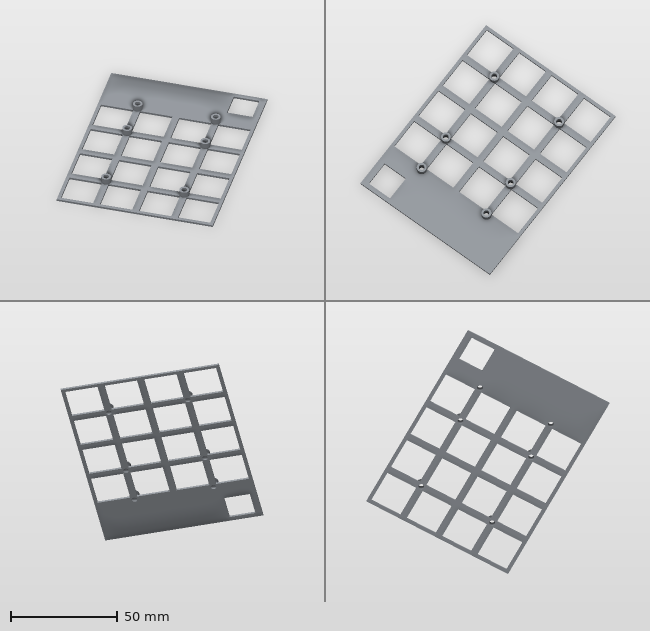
import cadquery as cq

COLUMNS = 4
ROWS = 4
PLATE_WIDTH = 76.2
KEY_PITCH = PLATE_WIDTH / COLUMNS
KEY_WINDOW = 15.7

PLATE_LENGTH = 99.0
PLATE_THICKNESS = 1.0

STRIP_WINDOW = 12.5
STRIP_WINDOW_X = (COLUMNS - 0.5) * KEY_PITCH
STRIP_WINDOW_TOP_MARGIN = 2.3
STRIP_WINDOW_Y = PLATE_LENGTH - STRIP_WINDOW_TOP_MARGIN - STRIP_WINDOW / 2

OVERALL_HEIGHT = 4.0
SPACER_HEIGHT = OVERALL_HEIGHT - PLATE_THICKNESS
SPACER_DIAMETER = 4.7
BORE_DIAMETER = 2.7

SPACER_COLUMN_LINES = (1, 3)
SPACER_ROW_LINES = (1, 3, 4)
SPACER_POINTS = [
    (column_line * KEY_PITCH, row_line * KEY_PITCH)
    for column_line in SPACER_COLUMN_LINES
    for row_line in SPACER_ROW_LINES
]


def make_plate():
    """Flat plate with the key windows, the strip window and the screw holes."""
    key_centers = [
        ((column + 0.5) * KEY_PITCH, (row + 0.5) * KEY_PITCH)
        for column in range(COLUMNS)
        for row in range(ROWS)
    ]
    blank = cq.Workplane("XY").rect(PLATE_WIDTH, PLATE_LENGTH, centered=False).extrude(PLATE_THICKNESS)
    key_windows = (
        cq.Workplane("XY").pushPoints(key_centers).rect(KEY_WINDOW, KEY_WINDOW).extrude(PLATE_THICKNESS)
    )
    strip_window = (
        cq.Workplane("XY")
        .center(STRIP_WINDOW_X, STRIP_WINDOW_Y)
        .rect(STRIP_WINDOW, STRIP_WINDOW)
        .extrude(PLATE_THICKNESS)
    )
    screw_holes = (
        cq.Workplane("XY").pushPoints(SPACER_POINTS).circle(BORE_DIAMETER / 2).extrude(PLATE_THICKNESS)
    )
    return blank.cut(key_windows).cut(strip_window).cut(screw_holes)


def make_spacer(x, y):
    """Tube standing on the top face of the plate at (x, y)."""
    return (
        cq.Workplane("XY", origin=(x, y, PLATE_THICKNESS))
        .circle(SPACER_DIAMETER / 2)
        .circle(BORE_DIAMETER / 2)
        .extrude(SPACER_HEIGHT)
    )


plate = make_plate()
spacers = [make_spacer(x, y) for x, y in SPACER_POINTS]

result = cq.Compound.makeCompound([plate.val(), *[spacer.val() for spacer in spacers]])